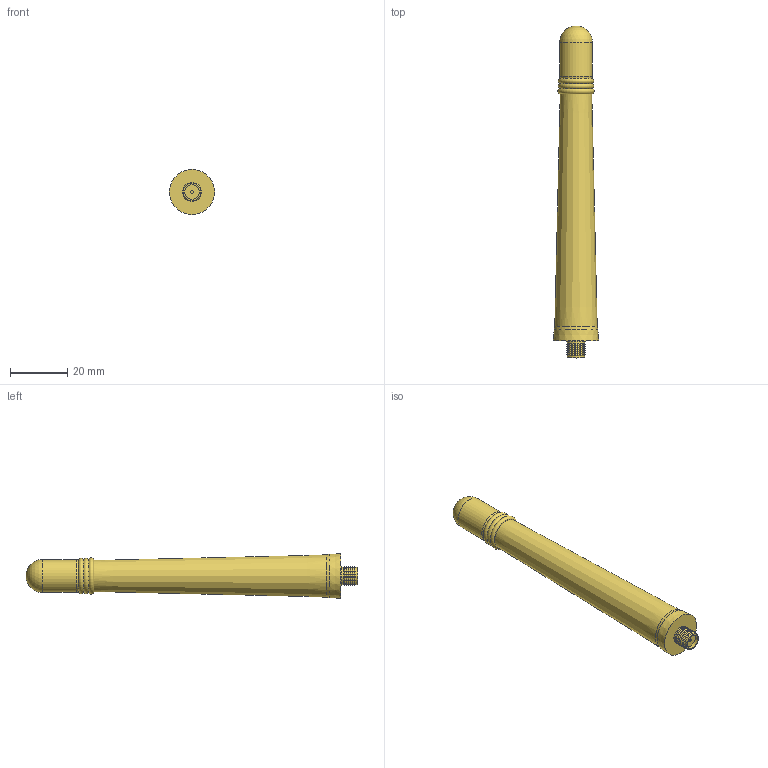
import cadquery as cq
import math


base_radius = 15.83 / 2
overall_length = 115.87
connector_length = 6.0
tip_y = overall_length - connector_length
tip_radius = 5.75
dome_center_y = tip_y - tip_radius
grip_start_y = 92.3
taper_top_y = 86.25
taper_top_radius = 5.5
taper_bottom_y = 5.0
taper_bottom_radius = 7.4
collar_top_y = 3.9
collar_radius = 7.6

ring_root_radius = 5.6
ring_lead_in = 0.75
ring_heights = (0.6, 0.55, 0.75)
ring_pitch = (grip_start_y - ring_lead_in - taper_top_y) / len(ring_heights)

thread_root_radius = 3.0
thread_crest_radius = 3.3
thread_pitch = 0.7
thread_count = 6
thread_start_y = -1.0
flange_width = 0.4
bore_radius = 2.5
bore_depth = 1.2
contact_hole_radius = 0.5
contact_hole_depth = 1.0


def revolve_about_y(profile):
    return profile.close().revolve(360, (0, 0, 0), (0, 1, 0))


def make_body():
    profile = cq.Workplane("XY").lineTo(base_radius, 0)
    profile = profile.lineTo(collar_radius, collar_top_y)
    profile = profile.lineTo(taper_bottom_radius, taper_bottom_y)
    profile = profile.lineTo(taper_top_radius, taper_top_y)
    profile = profile.lineTo(ring_root_radius, taper_top_y)

    ring_y = taper_top_y
    for height in reversed(ring_heights):
        crest = (ring_root_radius + height, ring_y + ring_pitch / 2)
        ring_y += ring_pitch
        profile = profile.threePointArc(crest, (ring_root_radius, ring_y))

    profile = profile.lineTo(tip_radius, grip_start_y).lineTo(tip_radius, dome_center_y)
    dome_middle = tip_radius * math.sqrt(0.5)
    profile = profile.threePointArc((dome_middle, dome_center_y + dome_middle), (0, tip_y))
    return revolve_about_y(profile)


def make_connector():
    profile = cq.Workplane("XY").lineTo(thread_crest_radius, 0)
    profile = profile.lineTo(thread_crest_radius, -flange_width)
    profile = profile.lineTo(thread_root_radius, -flange_width)
    profile = profile.lineTo(thread_root_radius, thread_start_y)
    for index in range(thread_count):
        ridge_y = thread_start_y - index * thread_pitch
        profile = profile.lineTo(thread_crest_radius, ridge_y - thread_pitch / 2)
        profile = profile.lineTo(thread_root_radius, ridge_y - thread_pitch)
    profile = profile.lineTo(thread_root_radius, -connector_length).lineTo(0, -connector_length)
    return revolve_about_y(profile)


def make_cylinder(radius, start_y, length):
    return cq.Workplane("XZ", origin=(0, start_y, 0)).circle(radius).extrude(-length)


bore = make_cylinder(bore_radius, -connector_length, bore_depth)
contact_hole = make_cylinder(contact_hole_radius, bore_depth - connector_length, contact_hole_depth)

result = make_body().union(make_connector()).cut(bore).cut(contact_hole)